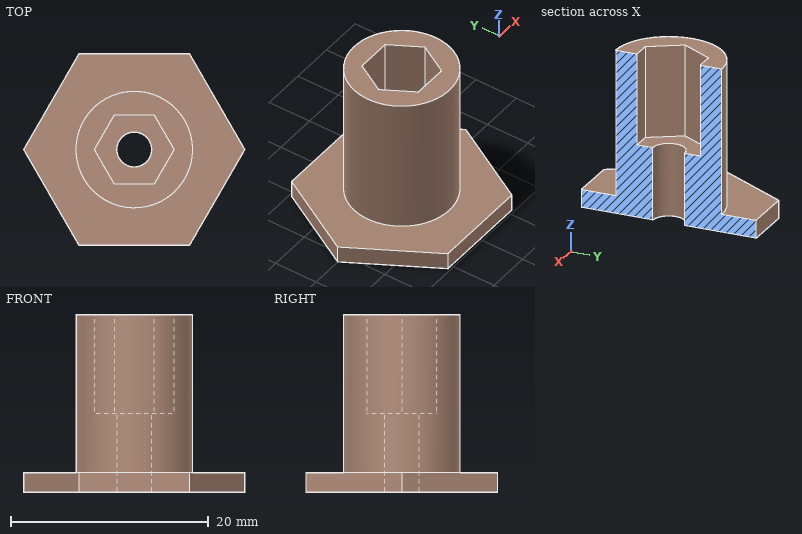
import cadquery as cq
import math

flange_across_corners = 22.4
flange_thickness = 2.0

total_height = 18.0
post_diameter = 11.8
post_height = total_height - flange_thickness

socket_across_flats = 7.0
socket_across_corners = socket_across_flats / math.cos(math.radians(30))
socket_depth = 10.0
socket_floor_height = total_height - socket_depth
bore_diameter = 3.5


def hex_prism(across_corners, base_height, height):
    """Upright hexagonal prism with two of its corners on the X axis."""
    return (
        cq.Workplane("XY")
        .workplane(offset=base_height)
        .polygon(6, across_corners)
        .extrude(height)
    )


def make_body():
    """Flange and post joined into one solid."""
    flange = hex_prism(flange_across_corners, 0, flange_thickness)
    return flange.faces(">Z").workplane().circle(post_diameter / 2).extrude(post_height)


def make_socket():
    """Volume of the hexagonal socket."""
    return hex_prism(socket_across_corners, socket_floor_height, socket_depth)


def make_bore():
    """Volume of the round bore through the full height."""
    return cq.Workplane("XY").circle(bore_diameter / 2).extrude(total_height)


result = make_body().cut(make_socket()).cut(make_bore())